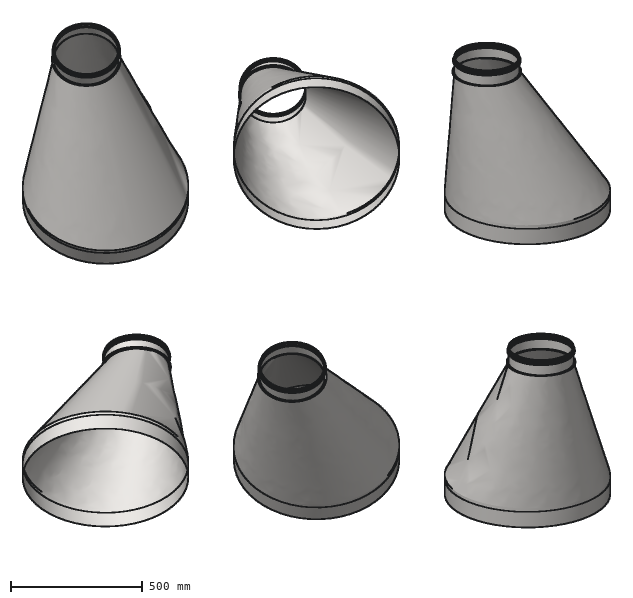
import cadquery as cq

sheet = 0.52

total_height = 695.5
collar_bottom = 65.5
cone_bottom = 81.0
cone_top = 627.0
flange_bottom = 631.0
flange_thickness = 1.5
groove_bottom = 673.0
seal_bottom = 678.0
seal_top = 690.0
rim_bottom = 692.0

base_radius = 631.5 / 2
neck_radius = 249.0 / 2
flange_radius = 263.0 / 2
groove_radius = 244.5 / 2
seal_band_radius = 252.0 / 2
seal_lip_radius = 259.0 / 2

lip_root_height = 686.0
lip_thickness = 2.0

neck_x = neck_radius - base_radius


def cylinder(x, radius, bottom, top):
    return cq.Workplane("XY", origin=(x, 0, bottom)).circle(radius).extrude(top - bottom)


def revolved_ring(points):
    """Revolve a (radius, height) outline about the neck axis."""
    outline = cq.Workplane("XZ", origin=(neck_x, 0, 0)).polyline(points).close()
    return outline.revolve(360, (0, 0, 0), (0, 1, 0))


def oblique_solid(inset):
    """Filled hopper shape with its collars, with every radius reduced by inset."""
    lower = cylinder(0, base_radius - inset, collar_bottom, cone_bottom)
    cone = (
        cq.Workplane("XY", origin=(0, 0, cone_bottom))
        .circle(base_radius - inset)
        .workplane(offset=cone_top - cone_bottom)
        .center(neck_x, 0)
        .circle(neck_radius - inset)
        .loft(ruled=True)
    )
    upper = cylinder(neck_x, neck_radius - inset, cone_top, flange_bottom)
    return lower.union(cone).union(upper)


def make_skirt():
    bore = cylinder(0, base_radius - sheet, 0, collar_bottom)
    return cylinder(0, base_radius, 0, collar_bottom).cut(bore)


def make_hopper():
    """Oblique cone; its lower collar stands on the rim of the skirt."""
    return oblique_solid(0).cut(oblique_solid(sheet)).solids()


def make_neck():
    """Flanged tube with a groove pressed inwards as a seat for the seal."""
    neck_bore = neck_radius - sheet
    seat_bore = groove_radius - sheet
    return revolved_ring([
        (neck_bore, flange_bottom),
        (flange_radius, flange_bottom),
        (flange_radius, flange_bottom + flange_thickness),
        (neck_radius, flange_bottom + flange_thickness),
        (neck_radius, groove_bottom),
        (groove_radius, groove_bottom),
        (groove_radius, rim_bottom),
        (neck_radius, rim_bottom),
        (neck_radius, total_height),
        (neck_bore, total_height),
        (neck_bore, rim_bottom + sheet),
        (seat_bore, rim_bottom + sheet),
        (seat_bore, groove_bottom - sheet),
        (neck_bore, groove_bottom - sheet),
    ])


def make_seal():
    """Band seated in the neck recess, with one sloping lip."""
    return revolved_ring([
        (groove_radius, seal_bottom),
        (seal_band_radius, seal_bottom),
        (seal_band_radius, lip_root_height - lip_thickness),
        (seal_lip_radius, seal_bottom),
        (seal_lip_radius, seal_bottom + lip_thickness),
        (neck_radius, lip_root_height),
        (neck_radius, seal_top),
        (groove_radius, seal_top),
    ])


skirt = make_skirt()
hopper = make_hopper()
neck = make_neck()
seal = make_seal()

result = cq.Compound.makeCompound([skirt.val(), hopper.val(), neck.val(), seal.val()])